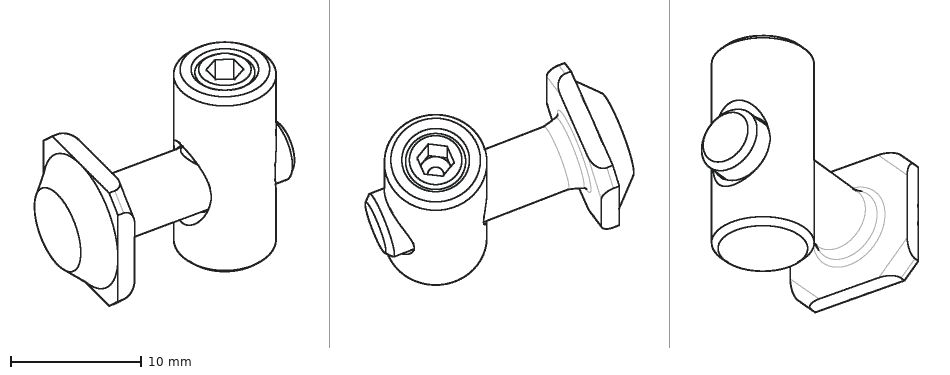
import cadquery as cq
import math


STEM_DIAMETER = 5.2

SHAFT_DIAMETER = 5.2
SHAFT_REAR = 5.0
BOLT_LENGTH = 20.1
END_CHAMFER = 0.5
HEAD_WIDTH = 11.0
HEAD_TIP_DIAMETER = 6.83
HEAD_CORNER_CUT = 1.3
PLATE_THICKNESS = 1.5
CORNER_ROUND = 1.0
NECK_LENGTH = 1.5
NECK_ANGLE = 15.0
NECK_FILLET = 0.5
SEAT_MOUTH_DIAMETER = 7.44

HEAD_FRONT = SHAFT_REAR - BOLT_LENGTH
CONE_HEIGHT = (HEAD_WIDTH - HEAD_TIP_DIAMETER) / 2
PLATE_FRONT = HEAD_FRONT + CONE_HEIGHT
PLATE_REAR = PLATE_FRONT + PLATE_THICKNESS
SEAT_FLOOR_Z = SHAFT_DIAMETER / 2 - (SEAT_MOUTH_DIAMETER - STEM_DIAMETER) / 2

BARREL_DIAMETER = 7.9
BARREL_LENGTH = 17.0
BARREL_TOP = 9.49
BARREL_CHAMFER = 0.5
CROSS_HOLE_DIAMETER = 5.4
COUNTERSINK_START = 2.91

GROOVE_OUTER_DIAMETER = 5.2
GROOVE_INNER_DIAMETER = 4.05
HEX_ACROSS_FLATS = 2.5
HEX_DEPTH = 2.5
SOCKET_FLOOR_DIAMETER = 1.25


def shaft_profile():
    """Half section of shaft and tapered neck: radius along X, bolt axis along Y."""
    radius = SHAFT_DIAMETER / 2
    angle = math.radians(NECK_ANGLE)
    neck_top = PLATE_REAR + NECK_LENGTH
    fillet_top = PLATE_REAR + NECK_FILLET * (1 - math.sin(angle))
    fillet_top_radius = radius + (neck_top - fillet_top) * math.tan(angle)
    centre_radius = fillet_top_radius + NECK_FILLET * math.cos(angle)
    middle_angle = (math.radians(90) + angle) / 2
    middle = (
        centre_radius - NECK_FILLET * math.cos(middle_angle),
        PLATE_REAR + NECK_FILLET * (1 - math.sin(middle_angle)),
    )
    return (
        cq.Workplane("XY")
        .moveTo(0, PLATE_FRONT)
        .lineTo(centre_radius, PLATE_FRONT)
        .lineTo(centre_radius, PLATE_REAR)
        .threePointArc(middle, (fillet_top_radius, fillet_top))
        .lineTo(radius, neck_top)
        .lineTo(radius, SHAFT_REAR - END_CHAMFER)
        .lineTo(radius - END_CHAMFER, SHAFT_REAR)
        .lineTo(0, SHAFT_REAR)
        .close()
    )


def make_head_plate():
    """Square plate with cut corners that round over towards the shaft."""
    return (
        cq.Workplane("XZ", origin=(0, PLATE_REAR, 0))
        .rect(HEAD_WIDTH, HEAD_WIDTH)
        .extrude(PLATE_THICKNESS)
        .edges("|Y")
        .chamfer(HEAD_CORNER_CUT)
        .faces(">Y")
        .edges("not(|X or |Z)")
        .fillet(CORNER_ROUND)
    )


def make_seat():
    """45 degree conical seat in the top of the shaft, coaxial with the barrel."""
    mouth = SEAT_MOUTH_DIAMETER / 2
    floor = STEM_DIAMETER / 2
    top = SHAFT_DIAMETER / 2
    return (
        cq.Workplane("XZ")
        .polyline([(0, top), (mouth, top), (floor, SEAT_FLOOR_Z), (0, SEAT_FLOOR_Z)])
        .close()
        .revolve(360, (0, 0, 0), (0, 1, 0))
    )


def make_bolt():
    """T-bolt: conical head front, square plate, tapered neck and round shaft."""
    cone = (
        cq.Workplane("XY")
        .polyline([
            (0, PLATE_FRONT),
            (HEAD_WIDTH / 2, PLATE_FRONT),
            (HEAD_TIP_DIAMETER / 2, HEAD_FRONT),
            (0, HEAD_FRONT),
        ])
        .close()
        .revolve(360, (0, 0, 0), (0, 1, 0))
    )
    shaft = shaft_profile().revolve(360, (0, 0, 0), (0, 1, 0))
    return make_head_plate().union(cone).union(shaft).cut(make_seat())


def make_cross_hole():
    """Clearance hole along Y with a 45 degree countersink at both ends."""
    radius = CROSS_HOLE_DIAMETER / 2
    mouth = BARREL_DIAMETER / 2
    mouth_radius = radius + mouth - COUNTERSINK_START
    return (
        cq.Workplane("XY")
        .polyline([
            (0, -mouth),
            (mouth_radius, -mouth),
            (radius, -COUNTERSINK_START),
            (radius, COUNTERSINK_START),
            (mouth_radius, mouth),
            (0, mouth),
        ])
        .close()
        .revolve(360, (0, 0, 0), (0, 1, 0))
    )


def make_ring_groove():
    """V groove around the hexagon socket in the top face."""
    outer = GROOVE_OUTER_DIAMETER / 2
    inner = GROOVE_INNER_DIAMETER / 2
    depth = (outer - inner) / 2
    return (
        cq.Workplane("XZ")
        .polyline([
            (inner, BARREL_TOP),
            (outer, BARREL_TOP),
            ((inner + outer) / 2, BARREL_TOP - depth),
        ])
        .close()
        .revolve(360, (0, 0, 0), (0, 1, 0))
    )


def make_socket():
    """Hexagon socket that ends in a 45 degree funnel with a flat floor."""
    corner_diameter = HEX_ACROSS_FLATS / math.cos(math.radians(30))
    funnel_depth = (HEX_ACROSS_FLATS - SOCKET_FLOOR_DIAMETER) / 2
    hexagon = (
        cq.Workplane("XY", origin=(0, 0, BARREL_TOP - HEX_DEPTH))
        .polygon(6, corner_diameter)
        .extrude(HEX_DEPTH)
    )
    funnel = (
        cq.Workplane("XY", origin=(0, 0, BARREL_TOP - HEX_DEPTH))
        .circle(HEX_ACROSS_FLATS / 2)
        .workplane(offset=-funnel_depth)
        .circle(SOCKET_FLOOR_DIAMETER / 2)
        .loft()
    )
    return hexagon.union(funnel)


def make_stem():
    """Round stem that hangs from the roof of the cross hole down to the bolt seat."""
    return (
        cq.Workplane("XY", origin=(0, 0, SEAT_FLOOR_Z))
        .circle(STEM_DIAMETER / 2)
        .extrude(CROSS_HOLE_DIAMETER / 2 - SEAT_FLOOR_Z)
    )


def make_barrel():
    """Round barrel with a cross hole, a stem that bears on the bolt, and a socketed top."""
    blank = (
        cq.Workplane("XY", origin=(0, 0, BARREL_TOP - BARREL_LENGTH))
        .circle(BARREL_DIAMETER / 2)
        .extrude(BARREL_LENGTH)
        .faces("<Z or >Z")
        .chamfer(BARREL_CHAMFER)
    )
    pierced = blank.cut(make_cross_hole()).union(make_stem())
    return pierced.cut(make_ring_groove()).cut(make_socket())


bolt = make_bolt()
barrel = make_barrel()
result = cq.Compound.makeCompound([bolt.solids().val(), barrel.solids().val()])